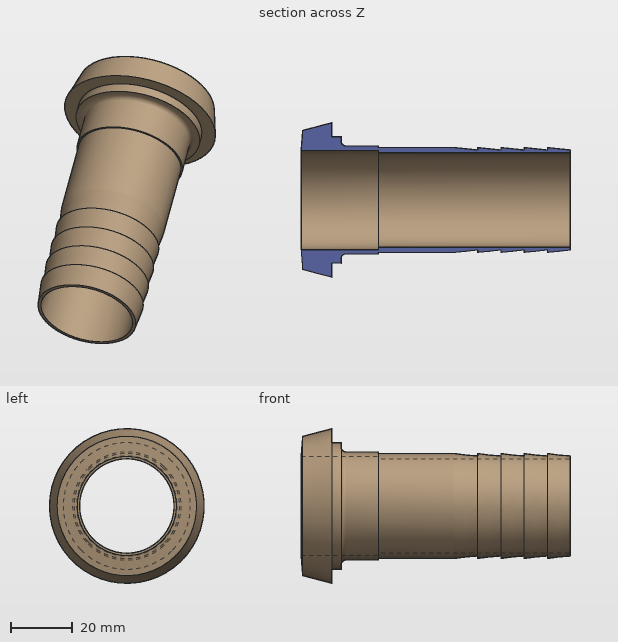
import cadquery as cq
import math

total_length = 87.0

head_diameter = 50.0
head_length = 10.0
face_rim_diameter = 45.0
face_depth = 0.5

collar_diameter = 41.0
collar_length = 3.0
neck_fillet = 1.5
collar_end = head_length + collar_length

neck_diameter = 35.0
neck_end = 25.0
spigot_diameter = 34.0

barb_count = 5
barb_pitch = 7.5
barb_tip_diameter = 32.4
barbs_start = total_length - barb_count * barb_pitch

head_bore_diameter = 32.0
spigot_bore_diameter = 30.4
bore_step = neck_end


def fillet_midpoint():
    """Middle of the concave arc between the collar's back face and the neck."""
    center_x = collar_end + neck_fillet
    center_radius = neck_diameter / 2 + neck_fillet
    offset = neck_fillet * math.cos(math.radians(45))
    return center_x - offset, center_radius - offset


def add_barbs(profile):
    """Continue the outer outline along the saw-tooth barbs to the free end."""
    for index in range(barb_count):
        start = barbs_start + index * barb_pitch
        profile = profile.lineTo(start, spigot_diameter / 2)
        profile = profile.lineTo(start + barb_pitch, barb_tip_diameter / 2)
    return profile


def half_section():
    """Closed outline of the wall on one side of the axis (X, radius)."""
    neck_radius = neck_diameter / 2
    profile = (
        cq.Workplane("XY")
        .moveTo(0, head_bore_diameter / 2)
        .lineTo(face_depth, face_rim_diameter / 2)
        .lineTo(head_length, head_diameter / 2)
        .lineTo(head_length, collar_diameter / 2)
        .lineTo(collar_end, collar_diameter / 2)
        .lineTo(collar_end, neck_radius + neck_fillet)
        .threePointArc(fillet_midpoint(), (collar_end + neck_fillet, neck_radius))
        .lineTo(neck_end, neck_radius)
        .lineTo(neck_end, spigot_diameter / 2)
    )
    return (
        add_barbs(profile)
        .lineTo(total_length, spigot_bore_diameter / 2)
        .lineTo(bore_step, spigot_bore_diameter / 2)
        .lineTo(bore_step, head_bore_diameter / 2)
        .close()
    )


result = half_section().revolve(360, (0, 0, 0), (1, 0, 0))